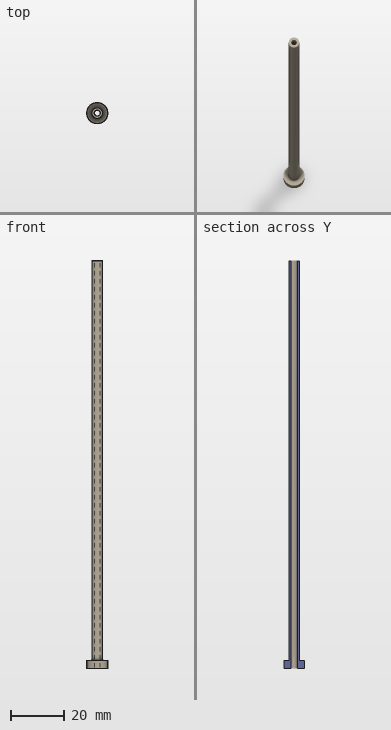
import cadquery as cq

total_length = 153.0
head_diameter = 8.0
head_height = 3.0
shaft_diameter = 4.0
bore_diameter = 2.1

root_radius = 0.3


def headed_shaft():
    """Solid shaft rising from a wider disc head, with a filleted root."""
    head = cq.Workplane("XY").circle(head_diameter / 2).extrude(head_height)
    shaft = cq.Workplane("XY").circle(shaft_diameter / 2).extrude(total_length)
    root_edge = cq.selectors.RadiusNthSelector(0)
    return head.union(shaft).faces("<Z[-2]").edges(root_edge).fillet(root_radius)


def through_bore():
    """Cylinder that clears the full length of the sleeve."""
    return cq.Workplane("XY").circle(bore_diameter / 2).extrude(total_length)


result = headed_shaft().cut(through_bore())